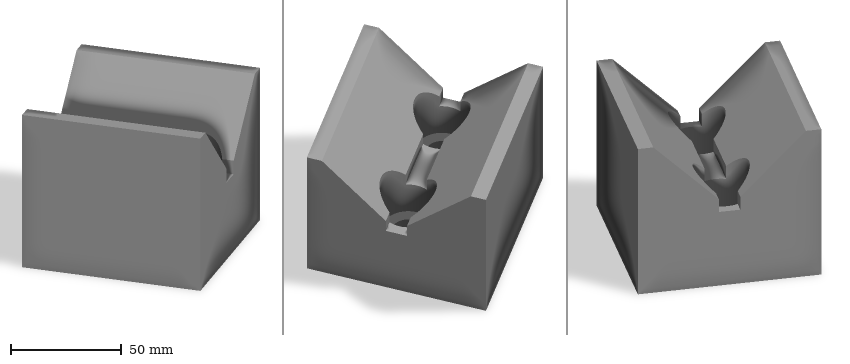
import cadquery as cq
import math

length = 85.0
width = 85.0
height = 75.0

seated_bar_side = 50.0
vee_opening = seated_bar_side * math.sqrt(2)
relief_width = 10.0
relief_floor_z = 38.0
vee_depth = (vee_opening - relief_width) / 2
relief_top_z = height - vee_depth

hole_spacing = 50.0
hole_diameter = 16.0
counterbore_diameter = 26.0
counterbore_depth = 18.0
counterbore_floor_z = relief_floor_z - counterbore_depth


def vee_block():
    """Block with a V groove and a square relief slot, extruded along X."""
    half_width = width / 2
    half_opening = vee_opening / 2
    half_relief = relief_width / 2
    profile = [
        (-half_width, 0),
        (half_width, 0),
        (half_width, height),
        (half_opening, height),
        (half_relief, relief_top_z),
        (half_relief, relief_floor_z),
        (-half_relief, relief_floor_z),
        (-half_relief, relief_top_z),
        (-half_opening, height),
        (-half_width, height),
    ]
    return cq.Workplane("YZ").polyline(profile).close().extrude(length / 2, both=True)


def vertical_cylinders(diameter, bottom_z):
    """Cylinders at both hole positions, from bottom_z up to the top of the block."""
    centers = [(-hole_spacing / 2, 0), (hole_spacing / 2, 0)]
    return (
        cq.Workplane("XY", origin=(0, 0, bottom_z))
        .pushPoints(centers)
        .circle(diameter / 2)
        .extrude(height - bottom_z)
    )


through_holes = vertical_cylinders(hole_diameter, 0)
counterbores = vertical_cylinders(counterbore_diameter, counterbore_floor_z)

result = vee_block().cut(through_holes).cut(counterbores)